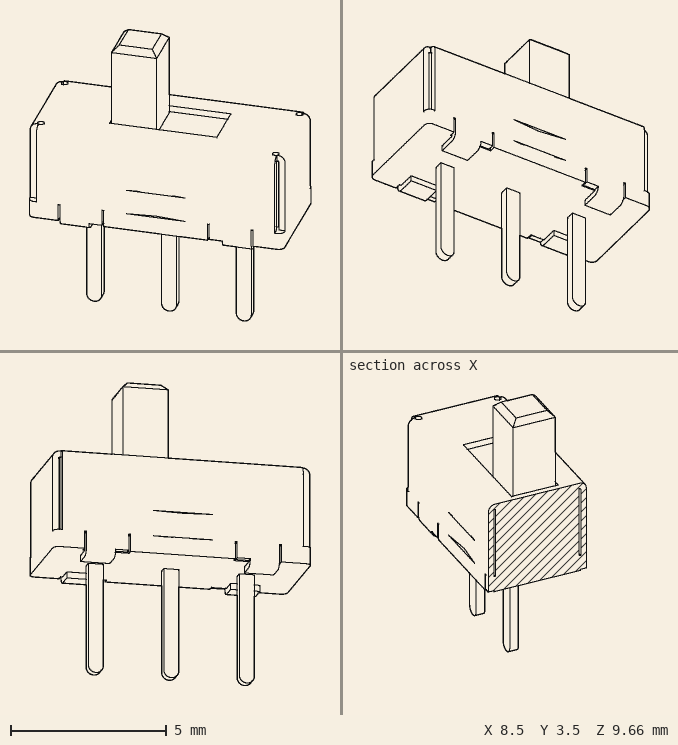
import cadquery as cq

length = 8.5
width = 3.5
case_top = 3.28
sheet = 0.21
bend_radius = 0.24
end_wall_gap = 0.28
side_wall_gap = 0.25
relief_radius = 0.11
relief_inset = 0.34

base_height = 0.58
base_corner_radius = 0.2
notch_inner = 1.73
notch_outer = 3.25

leg_clearance = 0.06
tab_drop = 0.2
tab_width = 0.97
tab_reach = 0.81

window_length = 3.57
window_width = 1.66
knob_side = 1.51
knob_center_x = -0.995
knob_top = 6.02
knob_chamfer = 0.2

dent_width = 1.95
dent_height = 0.85
dent_depth = 0.1

pin_pitch = 2.49
pin_width = 0.5
pin_thickness = 0.31
pin_bottom = -3.64

front = -width / 2
leg_inner = notch_inner + leg_clearance
leg_outer = notch_outer - leg_clearance
leg_bottom = bend_radius - tab_drop
inner_length = length - 2 * end_wall_gap
inner_width = width - 2 * side_wall_gap


def block(x_size, y_size, z_low, z_high):
    """Box centred on the Z axis between two heights."""
    return cq.Workplane("XY").workplane(offset=z_low).rect(x_size, y_size).extrude(z_high - z_low)


def span(x_low, x_high, y_low, y_high, z_low, z_high):
    """Box given by its limits along each axis."""
    return block(x_high - x_low, y_high - y_low, z_low, z_high).translate(
        ((x_low + x_high) / 2, (y_low + y_high) / 2, 0)
    )


def at_four_corners(shape):
    """The shape together with its copies mirrored in X and in Y."""
    pair = shape.union(shape.mirror("YZ"))
    return pair.union(pair.mirror("XZ"))


def make_base():
    base = block(length, width, 0, base_height).edges("|Z").fillet(base_corner_radius)
    notch = span(notch_inner, notch_outer, front, front + sheet, 0, base_height)
    return base.cut(at_four_corners(notch))


def make_case():
    """Folded can with open corner seams, filled by a core that leaves the seams clear."""
    long_fold = block(inner_length, width, base_height, case_top).edges("|X and >Z").fillet(bend_radius)
    cross_fold = block(length, inner_width, base_height, case_top).edges("|Y and >Z").fillet(bend_radius)
    cavity = block(length - 2 * sheet, width - 2 * sheet, base_height, case_top - sheet)
    cavity = cavity.faces(">Z").edges().fillet(bend_radius - sheet)
    case = long_fold.union(cross_fold).cut(cavity)
    core = block(inner_length, inner_width, base_height, case_top - sheet)
    case = case.union(core)
    reliefs = (
        cq.Workplane("XY")
        .workplane(offset=base_height)
        .rect(length - 2 * relief_inset, width - 2 * relief_inset, forConstruction=True)
        .vertices()
        .circle(relief_radius)
        .extrude(case_top - base_height)
    )
    window = block(window_length, window_width, case_top - sheet, case_top)
    return case.cut(reliefs).cut(window)


def make_leg():
    """Wall leg in the front right notch, with its tab folded under the base."""
    leg = span(leg_inner, leg_outer, front, front + sheet, leg_bottom, base_height)
    tab = (
        span(leg_outer - tab_width, leg_outer, front, front + tab_reach, -tab_drop, base_height)
        .edges("|X and <Y and <Z")
        .fillet(bend_radius)
    )
    return leg.union(tab)


def make_dent():
    return (
        cq.Workplane("XY")
        .workplane(offset=base_height)
        .moveTo(-dent_width / 2, front)
        .lineTo(dent_width / 2, front)
        .lineTo(0, front + dent_depth)
        .close()
        .extrude(dent_height)
    )


def make_knob():
    return (
        block(knob_side, knob_side, case_top - sheet, knob_top)
        .faces(">Z")
        .chamfer(knob_chamfer)
        .translate((knob_center_x, 0, 0))
    )


def make_pin(x):
    tip_center = pin_bottom + pin_width / 2
    shank = block(pin_width, pin_thickness, tip_center, 0)
    tip = (
        cq.Workplane("XZ")
        .center(0, tip_center)
        .circle(pin_width / 2)
        .extrude(pin_thickness / 2, both=True)
    )
    return shank.union(tip).translate((x, 0, 0))


dent = make_dent()
case = make_case().cut(dent).cut(dent.mirror("XZ"))

result = case.union(make_base()).union(at_four_corners(make_leg())).union(make_knob())
for pin_x in (-pin_pitch, 0, pin_pitch):
    result = result.union(make_pin(pin_x))